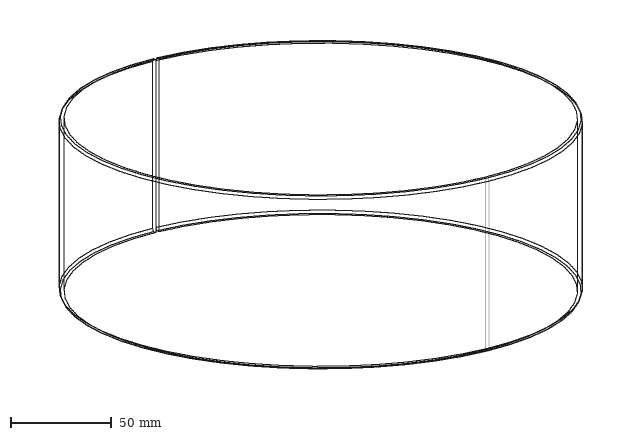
import cadquery as cq

outer_diameter = 260.0
height = 90.0
wall = 2.5
rim_chamfer_height = 1.5
rim_chamfer_inset = 0.68
slit_width = 2.0

outer_radius = outer_diameter / 2
inner_radius = outer_radius - wall


def make_ring():
    """Thin band standing on Z = 0, with steep chamfers on both outer rims."""
    rim_radius = outer_radius - rim_chamfer_inset
    section = (
        cq.Workplane("XZ")
        .moveTo(inner_radius, 0)
        .lineTo(rim_radius, 0)
        .lineTo(outer_radius, rim_chamfer_height)
        .lineTo(outer_radius, height - rim_chamfer_height)
        .lineTo(rim_radius, height)
        .lineTo(inner_radius, height)
        .close()
    )
    return section.revolve(360, (0, 0, 0), (0, 1, 0))


def make_slit():
    """Full-height cutter through the -X wall, with one side on the XZ plane."""
    return (
        cq.Workplane("XY")
        .moveTo(-outer_radius, 0)
        .rect(outer_radius, slit_width, centered=False)
        .extrude(height)
    )


result = make_ring().cut(make_slit())